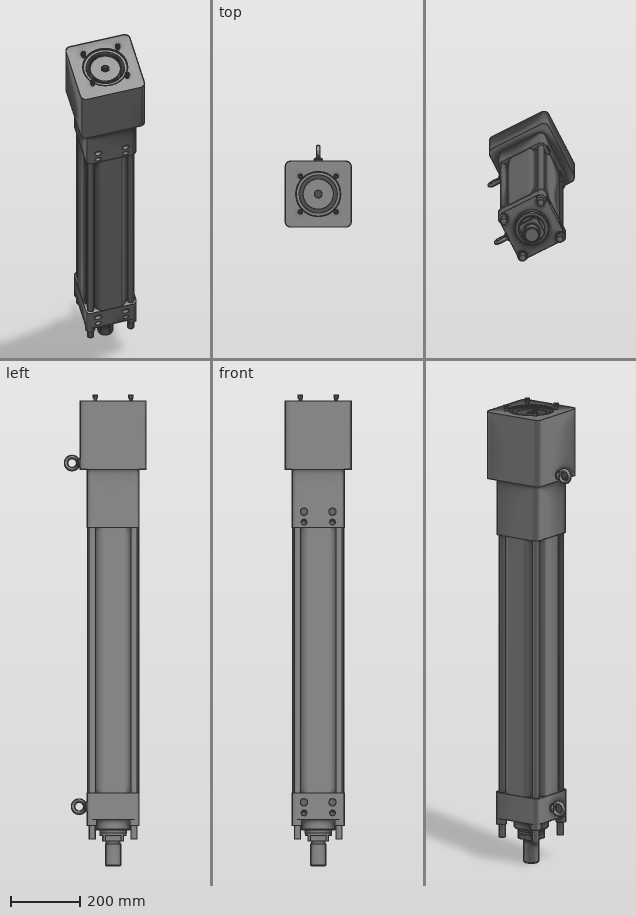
import cadquery as cq
import math

TIP_CHAMFER = 3.0
THREAD_TOP = 64.0
FLATS_BOTTOM = 72.0
TIE_ROD_BOTTOM = 78.0
FLATS_TOP = 88.0
WIPER_BOTTOM = 96.0
GLAND_BOTTOM = 104.0
LUG_BOTTOM = 117.0
HEAD_BOTTOM = 134.5
HEAD_TOP = 211.0
HOUSING_BOTTOM = 975.0
MOUNT_BOTTOM = 1143.0
TOTAL_HEIGHT = 1356.58

SCREW_DIAMETER = 8.0
SCREW_HEAD_DIAMETER = 13.0
SCREW_HEAD_HEIGHT = 8.0
SCREW_SOCKET_WIDTH = 6.0
SCREW_SOCKET_DEPTH = 4.0
SCREW_STANDOFF = 8.5
SCREW_ENGAGEMENT = 20.0
SCREW_CIRCLE_DIAMETER = 145.0
MOUNT_TOP = TOTAL_HEIGHT - SCREW_HEAD_HEIGHT - SCREW_STANDOFF

MOUNT_WIDTH = 190.5
MOUNT_CORNER_RADIUS = 16.0
HOUSING_WIDTH = 150.0
HOUSING_CORNER_RADIUS = 16.0
HEAD_CORNER_RADIUS = 12.0
LUG_WIDTH = 27.0

TUBE_WIDTH = 148.0
TUBE_CORNER_CUT = 43.0
TUBE_EDGE_RADIUS = 12.0
TIE_ROD_DIAMETER = 18.0
TIE_ROD_OFFSET = 60.0

THREAD_DIAMETER = 44.0
NECK_DIAMETER = 40.0
ROD_DIAMETER = 75.0
ROD_FLATS_WIDTH = 60.0
WIPER_DIAMETER = 77.0
GLAND_DIAMETER = 99.0
GLAND_CHAMFER = 3.0

HOLE_OFFSET = 41.0
LARGE_HOLE_DIAMETER = 21.0
LARGE_HOLE_DEPTH = 12.0
SMALL_HOLE_DIAMETER = 16.5
SMALL_HOLE_DEPTH = 20.0
DRILL_POINT_ANGLE = 118.0
HEAD_HOLE_HEIGHTS = (184.0, 153.5)
HOUSING_HOLE_HEIGHTS = (1021.0, 991.0)

EYE_HEIGHT = 45.51
EYE_RING_DIAMETER = 45.0
EYE_WIRE_DIAMETER = 10.16
EYE_COLLAR_DIAMETER = 25.53
EYE_COLLAR_HEIGHT = 9.0
EYE_COLLAR_CHAMFER = 5.0
EYE_SINK = 2.0
MOUNT_EYE_HEIGHT = 1161.0
HEAD_EYE_HEIGHT = 171.5

PILOT_DIAMETER = 126.0
PILOT_CHAMFER = 2.0
PILOT_DEPTH = 4.0
BORE_DIAMETER = 110.0
BORE_DEPTH = 80.0
COUPLING_DIAMETER = 87.0
COUPLING_RECESS = 8.0
COUPLING_BORE_DIAMETER = 22.2
COUPLING_BORE_DEPTH = 50.0


def four_corners(offset):
    return [(sx * offset, sy * offset) for sx in (-1, 1) for sy in (-1, 1)]


SCREW_POSITIONS = four_corners(SCREW_CIRCLE_DIAMETER / 2 / math.sqrt(2))


def cylinder(diameter, bottom, top):
    return cq.Workplane("XY", origin=(0, 0, bottom)).circle(diameter / 2).extrude(top - bottom)


def rounded_block(width, corner_radius, bottom, top):
    block = cq.Workplane("XY", origin=(0, 0, bottom)).rect(width, width).extrude(top - bottom)
    return block.edges("|Z").fillet(corner_radius)


def make_tube():
    tube = cq.Workplane("XY", origin=(0, 0, HEAD_TOP)).rect(TUBE_WIDTH, TUBE_WIDTH)
    tube = tube.extrude(HOUSING_BOTTOM - HEAD_TOP)
    tube = tube.edges("|Z").chamfer(TUBE_CORNER_CUT)
    return tube.edges("|Z").fillet(TUBE_EDGE_RADIUS)


def make_tie_rods():
    rods = cq.Workplane("XY", origin=(0, 0, TIE_ROD_BOTTOM)).pushPoints(four_corners(TIE_ROD_OFFSET))
    return rods.circle(TIE_ROD_DIAMETER / 2).extrude(HOUSING_BOTTOM - TIE_ROD_BOTTOM)


def make_head():
    head = rounded_block(HOUSING_WIDTH, HEAD_CORNER_RADIUS, HEAD_BOTTOM, HEAD_TOP)
    lug_offset = (HOUSING_WIDTH - LUG_WIDTH) / 2
    lugs = cq.Workplane("XY", origin=(0, 0, LUG_BOTTOM)).pushPoints(four_corners(lug_offset))
    lugs = lugs.rect(LUG_WIDTH, LUG_WIDTH).extrude(HEAD_BOTTOM - LUG_BOTTOM)
    lugs = lugs.edges("|Z").fillet(HEAD_CORNER_RADIUS)
    gland = cylinder(GLAND_DIAMETER, GLAND_BOTTOM, HEAD_BOTTOM).faces("<Z").chamfer(GLAND_CHAMFER)
    wiper = cylinder(WIPER_DIAMETER, WIPER_BOTTOM, GLAND_BOTTOM)
    return head.union(lugs).union(gland).union(wiper)


def make_rod():
    """Rod end with four wrench flats, a neck and a plain thread body."""
    thread = cylinder(THREAD_DIAMETER, 0, THREAD_TOP).faces("<Z").chamfer(TIP_CHAMFER)
    neck = cylinder(NECK_DIAMETER, THREAD_TOP, FLATS_BOTTOM)
    rod = cylinder(ROD_DIAMETER, FLATS_BOTTOM, WIPER_BOTTOM)
    flats = cq.Workplane("XY", origin=(0, 0, FLATS_BOTTOM)).rect(ROD_FLATS_WIDTH, ROD_FLATS_WIDTH)
    flats = flats.extrude(FLATS_TOP - FLATS_BOTTOM)
    rod_above_flats = cylinder(ROD_DIAMETER, FLATS_TOP, WIPER_BOTTOM)
    return rod.intersect(flats.union(rod_above_flats)).union(thread).union(neck)


def make_hole(x, z, diameter, depth, point_depth):
    """Blind hole in the front face, with an optional drill point, turned about its own axis."""
    hole = cq.Workplane("XY", origin=(x, -HOUSING_WIDTH / 2, z))
    outline = [(0, 0), (diameter / 2, 0), (diameter / 2, depth), (0, depth + point_depth)]
    return hole.polyline(outline).close().revolve(360, (0, 0), (0, 1))


def cut_mounting_holes(body):
    point_depth = SMALL_HOLE_DIAMETER / 2 / math.tan(math.radians(DRILL_POINT_ANGLE / 2))
    for large_height, small_height in (HEAD_HOLE_HEIGHTS, HOUSING_HOLE_HEIGHTS):
        for x in (-HOLE_OFFSET, HOLE_OFFSET):
            body = body.cut(make_hole(x, large_height, LARGE_HOLE_DIAMETER, LARGE_HOLE_DEPTH, 0))
            body = body.cut(make_hole(x, small_height, SMALL_HOLE_DIAMETER, SMALL_HOLE_DEPTH, point_depth))
    return body


def make_lifting_eye(seat_y, z):
    """Ring on a collar, standing on the back face and sunk slightly into it."""
    ring_y = seat_y + EYE_HEIGHT - EYE_RING_DIAMETER / 2
    ring_radius = (EYE_RING_DIAMETER - EYE_WIRE_DIAMETER) / 2
    ring = cq.Solid.makeTorus(ring_radius, EYE_WIRE_DIAMETER / 2, cq.Vector(0, ring_y, z), cq.Vector(1, 0, 0))
    collar = cq.Workplane("XZ", origin=(0, seat_y - EYE_SINK, z)).circle(EYE_COLLAR_DIAMETER / 2)
    collar = collar.extrude(-(EYE_COLLAR_HEIGHT + EYE_SINK))
    collar = collar.faces(">Y").chamfer(EYE_COLLAR_CHAMFER)
    return collar.union(cq.Workplane(ring))


def make_mount():
    mount = rounded_block(MOUNT_WIDTH, MOUNT_CORNER_RADIUS, MOUNT_BOTTOM, MOUNT_TOP)
    mount = mount.cut(cylinder(PILOT_DIAMETER, MOUNT_TOP - PILOT_DEPTH, MOUNT_TOP))
    pilot_edge = cq.selectors.RadiusNthSelector(-1)
    mount = mount.faces(">Z").edges(pilot_edge).chamfer(PILOT_CHAMFER)
    mount = mount.cut(cylinder(BORE_DIAMETER, MOUNT_TOP - BORE_DEPTH, MOUNT_TOP))
    screw_holes = cq.Workplane("XY", origin=(0, 0, MOUNT_TOP - SCREW_ENGAGEMENT))
    screw_holes = screw_holes.pushPoints(SCREW_POSITIONS).circle(SCREW_DIAMETER / 2).extrude(SCREW_ENGAGEMENT)
    return mount.cut(screw_holes)


def make_actuator():
    housing = rounded_block(HOUSING_WIDTH, HOUSING_CORNER_RADIUS, HOUSING_BOTTOM, MOUNT_BOTTOM)
    body = make_tube().union(make_tie_rods()).union(make_head()).union(housing)
    body = cut_mounting_holes(body).union(make_rod()).union(make_mount())
    body = body.union(make_lifting_eye(HOUSING_WIDTH / 2, HEAD_EYE_HEIGHT))
    return body.union(make_lifting_eye(MOUNT_WIDTH / 2, MOUNT_EYE_HEIGHT))


def make_coupling():
    """Hub resting on the bore floor, with a gap all round."""
    top = MOUNT_TOP - COUPLING_RECESS
    coupling = cylinder(COUPLING_DIAMETER, MOUNT_TOP - BORE_DEPTH, top)
    return coupling.cut(cylinder(COUPLING_BORE_DIAMETER, top - COUPLING_BORE_DEPTH, top))


def make_motor_screw(x, y):
    shank = cylinder(SCREW_DIAMETER, MOUNT_TOP - SCREW_ENGAGEMENT, TOTAL_HEIGHT - SCREW_HEAD_HEIGHT)
    head = cylinder(SCREW_HEAD_DIAMETER, TOTAL_HEIGHT - SCREW_HEAD_HEIGHT, TOTAL_HEIGHT)
    socket = cq.Workplane("XY", origin=(0, 0, TOTAL_HEIGHT))
    socket = socket.polygon(6, SCREW_SOCKET_WIDTH, circumscribed=True).extrude(-SCREW_SOCKET_DEPTH)
    return shank.union(head).cut(socket).translate((x, y, 0))


actuator = make_actuator()
coupling = make_coupling()
motor_screws = [make_motor_screw(x, y) for x, y in SCREW_POSITIONS]

result = cq.Compound.makeCompound([actuator.val(), coupling.val(), *[screw.val() for screw in motor_screws]])